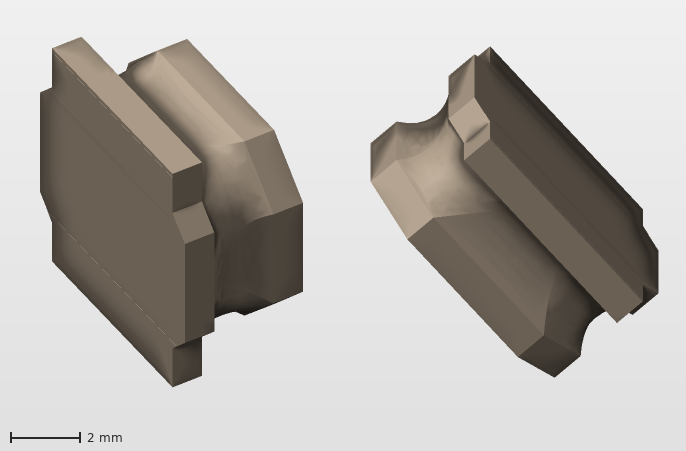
import cadquery as cq

width = 8.0
height = 8.0
depth = 4.0

flange_thickness = 1.0
neck_half_length = depth / 2 - flange_thickness

end_half_width = 3.32
side_half_height = 1.86
corner_slope = width / 2 - end_half_width

terminal_inner = 2.3
terminal_outer = 3.86
terminal_thickness = 0.01

back_height = 6.53
back_corner = 1.6

waist_half_width = 3.51
waist_half_height = 2.96
waist_radius = 1.94
neck_front_radius = 2.98

DIAGONAL = 0.5 ** 0.5


def section(y):
    """XZ workplane at the given Y, with local x along X and local y along Z."""
    return cq.Workplane("XZ", origin=(0, y, 0))


def corner_outline(y, half_width, half_height, corner, rounded):
    """Closed rectangle outline with its corners cut straight or rounded."""
    flat_x = half_width - corner
    flat_z = half_height - corner
    ends = [
        ((half_width, flat_z), (flat_x, half_height)),
        ((-flat_x, half_height), (-half_width, flat_z)),
        ((-half_width, -flat_z), (-flat_x, -half_height)),
        ((flat_x, -half_height), (half_width, -flat_z)),
    ]
    signs = [(1, 1), (-1, 1), (-1, -1), (1, -1)]
    outline = section(y).moveTo(*ends[-1][1])
    for (start, end), (sign_x, sign_z) in zip(ends, signs):
        outline = outline.lineTo(*start)
        if rounded:
            middle_x = sign_x * (flat_x + corner * DIAGONAL)
            middle_z = sign_z * (flat_z + corner * DIAGONAL)
            outline = outline.threePointArc((middle_x, middle_z), end)
        else:
            outline = outline.lineTo(*end)
    return outline.close()


def bare_front_strips():
    """Thin layer taken off the front face everywhere except the terminal pads."""
    layer = section(-depth / 2 + terminal_thickness)
    strips = layer.rect(width, 2 * terminal_inner).extrude(terminal_thickness)
    edge_height = height / 2 - terminal_outer
    edge_center = (height / 2 + terminal_outer) / 2
    for side in (1, -1):
        strip = layer.center(0, side * edge_center).rect(width, edge_height)
        strips = strips.union(strip.extrude(terminal_thickness))
    return strips


def front_flange():
    step_z = side_half_height + corner_slope
    quarter = [
        (width / 2, side_half_height),
        (end_half_width, step_z),
        (end_half_width, height / 2),
    ]
    right_half = [(x, -z) for x, z in reversed(quarter)] + quarter
    left_half = [(-x, -z) for x, z in right_half]
    plate = section(-neck_half_length).polyline(right_half + left_half).close()
    plate = plate.extrude(flange_thickness)
    return plate.cut(bare_front_strips())


def back_flange():
    outline = corner_outline(depth / 2, width / 2, back_height / 2, back_corner, False)
    return outline.extrude(flange_thickness)


def neck():
    outlines = [
        corner_outline(neck_half_length, width / 2, back_height / 2, back_corner, False),
        corner_outline(0, waist_half_width, waist_half_height, waist_radius, True),
        corner_outline(-neck_half_length, width / 2, back_height / 2, neck_front_radius, True),
    ]
    return cq.Workplane(cq.Solid.makeLoft([outline.val() for outline in outlines]))


result = front_flange().union(neck()).union(back_flange())